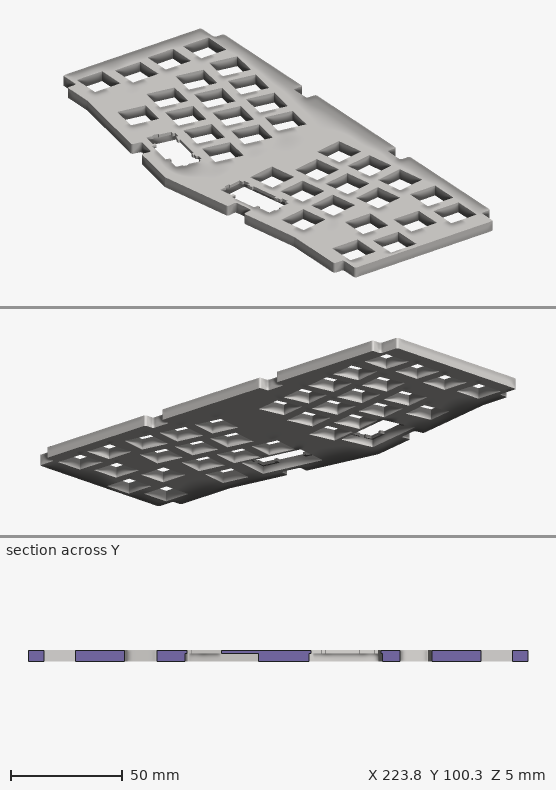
import cadquery as cq
import math


LENGTH = 223.84
DEPTH = 100.25
THICKNESS = 5.0
SPLAY = 10.0
CORNER_RADIUS = 1.0
CUT_DEPTH = 5.0

LEFT, RIGHT = -LENGTH / 2, LENGTH / 2
BACK, APEX_Y = DEPTH / 2, -DEPTH / 2
APEX_X = -7.2
FRONT = -36.15
LEFT_STEP = 10.4
RIGHT_STEP = 9.05
SLOPE = math.tan(math.radians(SPLAY))
BEND_OFFSET = (FRONT - APEX_Y) / SLOPE

NOTCH_WIDTH = 10.0
BACK_NOTCH_X = 35.85
FRONT_NOTCH_X = 36.25

PITCH = 19.05
SWITCH = 14.0

LEFT_BLOCK_ORIGIN = (-75.18, 34.65)
RIGHT_BLOCK_ORIGIN = (18.66, 27.25)
LEFT_BLOCK_ROWS = [(0, 4), (0.25, 4), (0.75, 4), (1.25, 1)]
RIGHT_BLOCK_ROWS = [(0, 3), (0.25, 3), (-0.25, 3), (1.75, 1)]
LEFT_WIDE_KEY = (3.125, 3)
RIGHT_WIDE_KEY = (0.125, 3)

END_ROW_BACK_Y = 35.58
END_ROWS = [
    (-95.8, 95.86),
    (-96.46, 91.75),
    (-95.11, 81.05, 102.48),
    (-97.8, 97.8),
]
RAISED_KEY = (76.81, 36.4)

STAB_SPACING = 11.938
STAB_WIDTH = 6.75
STAB_FRONT, STAB_BACK = -5.8, 6.5
CLIP_WIDTH = 3.3
CLIP_BACK = 7.75
EAR_REACH = 4.2
EAR_FRONT, EAR_BACK = -2.3, 0.5
BRIDGE_FRONT, BRIDGE_BACK = -4.73, 5.97

WEB = 1.5
POCKET_REACH = STAB_SPACING + EAR_REACH
POCKET_FRONT, POCKET_BACK = -SWITCH / 2, 10.4


def make_plate():
    """Plate with stepped corners and a shallow V-shaped front edge."""
    step_left, step_right = LEFT + LEFT_STEP, RIGHT - RIGHT_STEP
    step_back, step_front = BACK - CUT_DEPTH, FRONT + CUT_DEPTH
    outline = [
        (step_left, BACK),
        (step_right, BACK),
        (step_right, step_back),
        (RIGHT, step_back),
        (RIGHT, step_front),
        (step_right, step_front),
        (step_right, FRONT),
        (APEX_X + BEND_OFFSET, FRONT),
        (APEX_X, APEX_Y),
        (APEX_X - BEND_OFFSET, FRONT),
        (step_left, FRONT),
        (step_left, step_front),
        (LEFT, step_front),
        (LEFT, step_back),
        (step_left, step_back),
    ]
    return cq.Workplane("XY").polyline(outline).close().extrude(THICKNESS)


def make_notch(x, y, angle):
    """Edge notch cutter whose mouth is centred on the edge at (x, y)."""
    notch = cq.Workplane("XY").rect(NOTCH_WIDTH, 2 * CUT_DEPTH).extrude(THICKNESS)
    return notch.rotate((0, 0, 0), (0, 0, 1), angle).translate((x, y, 0))


def cut_notches(plate):
    """Two notches in the back edge and two square to the sloping front edge."""
    for side in (-1, 1):
        plate = plate.cut(make_notch(side * BACK_NOTCH_X, BACK, 0))
        front_x = side * FRONT_NOTCH_X
        front_y = APEX_Y + abs(front_x - APEX_X) * SLOPE
        plate = plate.cut(make_notch(front_x, front_y, side * SPLAY))
    return plate


def is_front_bend(edge):
    """True for the three blunt corners of the front edge, which stay sharp."""
    tolerance = 0.01
    centre = edge.Center()
    bends = [
        (APEX_X - BEND_OFFSET, FRONT),
        (APEX_X, APEX_Y),
        (APEX_X + BEND_OFFSET, FRONT),
    ]
    return any(math.dist((centre.x, centre.y), bend) < tolerance for bend in bends)


def round_corners(plate):
    """Round every square corner of the outline."""
    corners = plate.edges("|Z").filter(lambda edge: not is_front_bend(edge))
    return corners.fillet(CORNER_RADIUS)


def block_place(origin, angle, along, across):
    """Centre of a key placed in pitches along and across a tilted block."""
    tilt = math.radians(angle)
    x = origin[0] + PITCH * (along * math.cos(tilt) + across * math.sin(tilt))
    y = origin[1] + PITCH * (along * math.sin(tilt) - across * math.cos(tilt))
    return x, y


def make_switch():
    """Square cutter for one switch."""
    return cq.Workplane("XY").rect(SWITCH, SWITCH).extrude(THICKNESS)


def make_slab(x_min, x_max, y_min, y_max):
    """Rectangular cutter between the given limits."""
    slab = cq.Workplane("XY").rect(x_max - x_min, y_max - y_min).extrude(THICKNESS)
    return slab.translate(((x_min + x_max) / 2, (y_min + y_max) / 2, 0))


def make_wide_switch():
    """Cutter for a switch joined to a stabilizer on each side."""
    cutter = make_switch()
    cutter = cutter.union(make_slab(-STAB_SPACING, STAB_SPACING, BRIDGE_FRONT, BRIDGE_BACK))
    half_stab, half_clip = STAB_WIDTH / 2, CLIP_WIDTH / 2
    for side in (-1, 1):
        x = side * STAB_SPACING
        ear_limits = sorted((x, x + side * EAR_REACH))
        cutter = cutter.union(make_slab(x - half_stab, x + half_stab, STAB_FRONT, STAB_BACK))
        cutter = cutter.union(make_slab(x - half_clip, x + half_clip, 0, CLIP_BACK))
        cutter = cutter.union(make_slab(*ear_limits, EAR_FRONT, EAR_BACK))
    return cutter


def make_stabilizer_pocket():
    """Cutter for the pocket below a wide key."""
    pocket = make_slab(-POCKET_REACH, POCKET_REACH, POCKET_FRONT, POCKET_BACK)
    return pocket.translate((0, 0, -WEB))


def cut_at(plate, cutter, place, angle=0):
    """Cut the plate with a cutter turned by an angle and moved to a place."""
    turned = cutter.rotate((0, 0, 0), (0, 0, 1), angle)
    return plate.cut(turned.translate((*place, 0)))


def cut_block(plate, origin, angle, rows, wide_key):
    """Cut all openings of one splayed key block."""
    for row, (offset, count) in enumerate(rows):
        for key in range(count):
            place = block_place(origin, angle, offset + key, row)
            plate = cut_at(plate, make_switch(), place, angle)
    wide_place = block_place(origin, angle, *wide_key)
    plate = cut_at(plate, make_wide_switch(), wide_place, angle)
    return cut_at(plate, make_stabilizer_pocket(), wide_place, angle)


def cut_end_keys(plate):
    """Cut the unrotated switch openings at both ends of the plate."""
    for row, centres in enumerate(END_ROWS):
        for x in centres:
            plate = cut_at(plate, make_switch(), (x, END_ROW_BACK_Y - row * PITCH))
    return cut_at(plate, make_switch(), RAISED_KEY)


plate = round_corners(cut_notches(make_plate()))
plate = cut_block(plate, LEFT_BLOCK_ORIGIN, -SPLAY, LEFT_BLOCK_ROWS, LEFT_WIDE_KEY)
plate = cut_block(plate, RIGHT_BLOCK_ORIGIN, SPLAY, RIGHT_BLOCK_ROWS, RIGHT_WIDE_KEY)
result = cut_end_keys(plate)